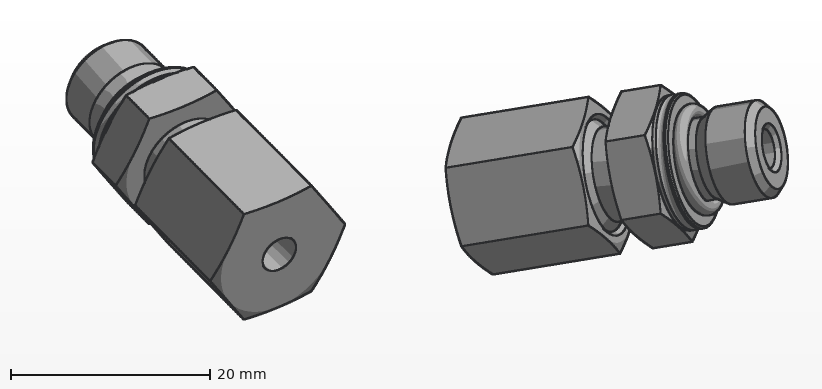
import cadquery as cq
import math


across_flats = 14.0
across_corners = across_flats / math.cos(math.radians(30))
hex_face_radius = 6.95
hex_chamfer_angle = 15.0

bore_radius = 2.0
bore_chamfer = 0.5

thread_radius = 5.0
undercut_radius = 4.2
thread_end = 5.1
undercut_angle = 30.0
undercut_start = thread_end + (thread_radius - undercut_radius) / math.tan(math.radians(undercut_angle))

ring_wire_radius = 0.75
ring_center_radius = undercut_radius + ring_wire_radius
ring_center_x = 7.85

collar_radius = 6.9
collar_start = 8.45
collar_chamfer = 0.2
groove_start = 8.85
groove_end = 9.7
groove_depth = 0.25

body_hex_start = 10.1
body_hex_end = 15.0
neck_radius = 4.85
neck_end = 17.6

nut_start = 18.0
nut_end = 32.5
nut_mouth_radius = 6.2

stud_radius = 6.0
stud_cone_end = neck_end + (stud_radius - neck_radius)
stud_depth_in_nut = 10.0
stud_end = nut_start + stud_depth_in_nut


def revolve_about_x(profile):
    """Turn a closed profile drawn in (x, radius) coordinates about the X axis."""
    return profile.close().revolve(360, (0, 0, 0), (1, 0, 0))


def chamfered_hex(start, end):
    """Hexagon with flats facing +Z and -Z and conically chamfered corners at both ends."""
    corner_radius = across_corners / 2
    setback = (corner_radius - hex_face_radius) * math.tan(math.radians(hex_chamfer_angle))
    prism = cq.Workplane("YZ").workplane(offset=start).polygon(6, across_corners).extrude(end - start)
    envelope = revolve_about_x(
        cq.Workplane("XY")
        .moveTo(start, 0)
        .lineTo(start, hex_face_radius)
        .lineTo(start + setback, corner_radius)
        .lineTo(end - setback, corner_radius)
        .lineTo(end, hex_face_radius)
        .lineTo(end, 0)
    )
    return prism.intersect(envelope)


def screw_in_end():
    """Threaded end, undercut and grooved collar, up to the body hexagon."""
    end_chamfer = thread_radius - undercut_radius
    return revolve_about_x(
        cq.Workplane("XY")
        .moveTo(0, 0)
        .lineTo(0, thread_radius - end_chamfer)
        .lineTo(end_chamfer, thread_radius)
        .lineTo(thread_end, thread_radius)
        .lineTo(undercut_start, undercut_radius)
        .lineTo(collar_start, undercut_radius)
        .lineTo(collar_start, collar_radius - collar_chamfer)
        .lineTo(collar_start + collar_chamfer, collar_radius)
        .lineTo(groove_start, collar_radius)
        .threePointArc(
            ((groove_start + groove_end) / 2, collar_radius - groove_depth),
            (groove_end, collar_radius),
        )
        .lineTo(body_hex_start, collar_radius)
        .lineTo(body_hex_start, 0)
    )


def neck_and_stud():
    """Neck behind the body hexagon and the stud that fills the nut."""
    return revolve_about_x(
        cq.Workplane("XY")
        .moveTo(body_hex_end, 0)
        .lineTo(body_hex_end, neck_radius)
        .lineTo(neck_end, neck_radius)
        .lineTo(stud_cone_end, stud_radius)
        .lineTo(stud_end, stud_radius)
        .lineTo(stud_end, 0)
    )


def bore_cutter():
    """Through bore, widened by a chamfer at the screw-in end."""
    return revolve_about_x(
        cq.Workplane("XY")
        .moveTo(0, 0)
        .lineTo(0, bore_radius + bore_chamfer)
        .lineTo(bore_chamfer, bore_radius)
        .lineTo(nut_end, bore_radius)
        .lineTo(nut_end, 0)
    )


def make_o_ring():
    return (
        cq.Workplane("XY")
        .center(ring_center_x, ring_center_radius)
        .circle(ring_wire_radius)
        .revolve(360, (-ring_center_x, -ring_center_radius, 0), (1 - ring_center_x, -ring_center_radius, 0))
    )


def make_fitting_body(o_ring):
    """One-piece body, with a shallow seat for the O-ring in the collar face."""
    body = screw_in_end().union(chamfered_hex(body_hex_start, body_hex_end)).union(neck_and_stud())
    return body.cut(bore_cutter()).cut(o_ring)


def nut_mouth_cutter():
    """45 degree countersink in the nut face, narrowing until it meets the stud cone."""
    return revolve_about_x(
        cq.Workplane("XY")
        .moveTo(nut_start, 0)
        .lineTo(nut_start, nut_mouth_radius)
        .lineTo(nut_start + nut_mouth_radius, 0)
    )


def make_union_nut():
    nut = chamfered_hex(nut_start, nut_end)
    return nut.cut(neck_and_stud()).cut(nut_mouth_cutter()).cut(bore_cutter())


o_ring = make_o_ring()
fitting_body = make_fitting_body(o_ring)
union_nut = make_union_nut()

result = cq.Compound.makeCompound([fitting_body.val(), o_ring.val(), union_nut.val()])